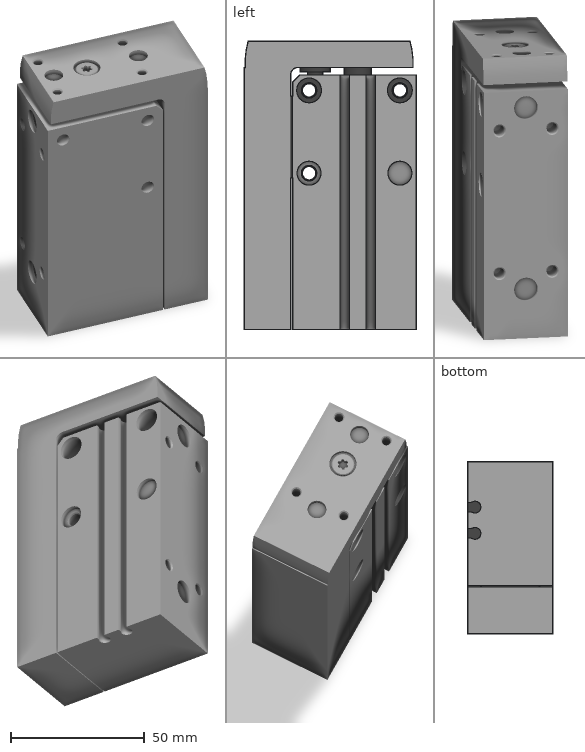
import cadquery as cq
import math

WIDTH = 32.0
TOTAL_DEPTH = 64.5
TOTAL_HEIGHT = 108.0

HOUSING_DEPTH = 46.3
HOUSING_HEIGHT = 95.4
HOUSING_CHAMFER = 2.7
PAD_WIDTH = 21.6
PAD_BOTTOM = 56.8
PAD_TOP = 87.4

WALL_FACE_Y = 47.0
PLATE_UNDERSIDE = 98.1
PLATE_FRONT_Y = 1.2
END_ARC_RADIUS = 29.7
END_ARC_CENTER_Z = 99.8
BACK_STEP = 0.3
INNER_FILLET = 2.6

POCKET_WIDTH = 30.2
POCKET_CORNER = 8.5
POCKET_TOP = 97.7
POCKET_BOTTOM = 64.8

ROD_Y = 21.9
ROD_DIAMETER = 10.2
SCREW_RECESS_DIAMETER = 10.2
SCREW_RECESS_DEPTH = 1.5
SCREW_HEAD_DIAMETER = 8.5
SCREW_HEAD_SINK = 0.5
SCREW_HEAD_CHAMFER = 0.3
SOCKET_TIP_RADIUS = 2.0
SOCKET_VALLEY_RADIUS = 1.5
SOCKET_TIP_HALF_ANGLE = 14
SOCKET_LOBES = 6
SOCKET_DEPTH = 2.2
STOP_Y = 37.9
STOP_DIAMETER = 11.5
STOP_THICKNESS = 1.6
STOP_STEM_DIAMETER = 5.8

TAP_OFFSET_X = 10.0
PLATE_TAP_Y = (6.2, 40.2)
PLATE_TAP_DIAMETER = 3.2
PLATE_TAP_MOUTH = 4.1
PLATE_RECESS_Y = (8.6, 42.7)
PLATE_RECESS_DIAMETER = 7.0
FRONT_TAP_Z = (25.4, 80.5)
FRONT_TAP_DIAMETER = 4.1
FRONT_TAP_MOUTH = 5.0
FRONT_TAP_DEPTH = 8.6
DRILL_TIP_ANGLE = 118
FRONT_RECESS_Z = (18.9, 88.9)
FRONT_RECESS_DIAMETER = 9.0
RECESS_DEPTH = 2.0

SIDE_HOLE_FRONT_Y = 6.2
SIDE_HOLE_REAR_Y = 40.2
SIDE_HOLE_UPPER_Z = 89.5
SIDE_HOLE_LOWER_Z = 58.5
SIDE_BORE_DIAMETER = 5.0
SIDE_BORE_MOUTH = 5.8
COUNTERBORE_DIAMETER = 9.3
COUNTERBORE_DEPTH = 10.0
SIDE_RECESS_DIAMETER = 9.0

GROOVE_SPACING = 9.8
GROOVE_MOUTH = 3.6
GROOVE_INSIDE = 4.4
GROOVE_LIP_DEPTH = 1.3
GROOVE_FLARE_DEPTH = 2.6
GROOVE_DEPTH = 5.0

SIDE_X = -WIDTH / 2


def cylinder(diameter, length, base, direction):
    """Cylinder that starts at the base point and runs along the direction."""
    return cq.Workplane(obj=cq.Solid.makeCylinder(diameter / 2, length, cq.Vector(*base), cq.Vector(*direction)))


def mouth_cone(mouth, bore, base, direction):
    """45 degree countersink that narrows from the mouth diameter to the bore diameter."""
    height = (mouth - bore) / 2
    cone = cq.Solid.makeCone(mouth / 2, bore / 2, height, cq.Vector(*base), cq.Vector(*direction))
    return cq.Workplane(obj=cone)


def drill_tip(diameter, base, direction):
    """Conical end of a drilled hole."""
    height = diameter / 2 / math.tan(math.radians(DRILL_TIP_ANGLE / 2))
    cone = cq.Solid.makeCone(diameter / 2, 0, height, cq.Vector(*base), cq.Vector(*direction))
    return cq.Workplane(obj=cone)


def arc_inset(height):
    """Horizontal set-back of a rounded plate end at the given height."""
    rise = height - END_ARC_CENTER_Z
    return END_ARC_RADIUS - math.sqrt(END_ARC_RADIUS**2 - rise**2)


def table_block():
    back_y = TOTAL_DEPTH - BACK_STEP
    top_inset = arc_inset(TOTAL_HEIGHT)
    low_inset = arc_inset(PLATE_UNDERSIDE)
    block = (
        cq.Workplane("YZ", origin=(SIDE_X, 0, 0))
        .moveTo(WALL_FACE_Y, 0)
        .lineTo(TOTAL_DEPTH, 0)
        .lineTo(TOTAL_DEPTH, PLATE_UNDERSIDE)
        .lineTo(back_y - low_inset, PLATE_UNDERSIDE)
        .threePointArc((back_y, END_ARC_CENTER_Z), (back_y - top_inset, TOTAL_HEIGHT))
        .lineTo(PLATE_FRONT_Y + top_inset, TOTAL_HEIGHT)
        .threePointArc((PLATE_FRONT_Y, END_ARC_CENTER_Z), (PLATE_FRONT_Y + low_inset, PLATE_UNDERSIDE))
        .lineTo(WALL_FACE_Y - INNER_FILLET, PLATE_UNDERSIDE)
        .radiusArc((WALL_FACE_Y, PLATE_UNDERSIDE - INNER_FILLET), INNER_FILLET)
        .close()
        .extrude(WIDTH)
    )
    pocket_height = POCKET_TOP - POCKET_BOTTOM
    pocket = (
        cq.Workplane("XY")
        .box(POCKET_WIDTH, INNER_FILLET, pocket_height)
        .edges("|Y")
        .fillet(POCKET_CORNER)
        .translate((0, WALL_FACE_Y - INNER_FILLET / 2, POCKET_BOTTOM + pocket_height / 2))
    )
    return block.cut(pocket)


def cut_plate_holes(table):
    down = (0, 0, -1)
    for y in PLATE_TAP_Y:
        for x in (-TAP_OFFSET_X, TAP_OFFSET_X):
            mouth = (x, y, TOTAL_HEIGHT)
            table = table.cut(cylinder(PLATE_TAP_DIAMETER, TOTAL_HEIGHT - PLATE_UNDERSIDE, mouth, down))
            table = table.cut(mouth_cone(PLATE_TAP_MOUTH, PLATE_TAP_DIAMETER, mouth, down))
    for y in PLATE_RECESS_Y:
        table = table.cut(cylinder(PLATE_RECESS_DIAMETER, RECESS_DEPTH, (0, y, TOTAL_HEIGHT), down))
    return table


def lobed_socket(top_z):
    """Six-lobed screw drive that opens at the given height."""
    step = 2 * math.pi / SOCKET_LOBES
    half_tip = math.radians(SOCKET_TIP_HALF_ANGLE)

    def polar(radius, angle):
        return (radius * math.cos(angle), radius * math.sin(angle))

    outline = cq.Workplane("XY", origin=(0, ROD_Y, top_z)).moveTo(*polar(SOCKET_TIP_RADIUS, -half_tip))
    for lobe in range(SOCKET_LOBES):
        angle = lobe * step
        outline = outline.threePointArc(
            polar(SOCKET_TIP_RADIUS, angle), polar(SOCKET_TIP_RADIUS, angle + half_tip)
        ).threePointArc(
            polar(SOCKET_VALLEY_RADIUS, angle + step / 2), polar(SOCKET_TIP_RADIUS, angle + step - half_tip)
        )
    return outline.close().extrude(-SOCKET_DEPTH)


def add_rod_screw(table):
    """Sunken screw head in the end plate, above the piston rod."""
    floor_z = TOTAL_HEIGHT - SCREW_RECESS_DEPTH
    head_top = TOTAL_HEIGHT - SCREW_HEAD_SINK
    recess = cylinder(SCREW_RECESS_DIAMETER, SCREW_RECESS_DEPTH, (0, ROD_Y, floor_z), (0, 0, 1))
    head = cylinder(SCREW_HEAD_DIAMETER, head_top - floor_z, (0, ROD_Y, floor_z), (0, 0, 1))
    head = head.faces(">Z").chamfer(SCREW_HEAD_CHAMFER)
    return table.cut(recess).union(head).cut(lobed_socket(head_top))


def add_rod_and_stop(table):
    """Rod and stop pad, both hanging from the plate and meeting the housing top."""
    down = (0, 0, -1)
    gap = PLATE_UNDERSIDE - HOUSING_HEIGHT
    rod = cylinder(ROD_DIAMETER, gap, (0, ROD_Y, PLATE_UNDERSIDE), down)
    stop = cylinder(STOP_DIAMETER, STOP_THICKNESS, (0, STOP_Y, PLATE_UNDERSIDE), down)
    stem = cylinder(STOP_STEM_DIAMETER, gap, (0, STOP_Y, PLATE_UNDERSIDE), down)
    return table.union(rod).union(stop).union(stem)


def make_table():
    table = cut_plate_holes(table_block())
    table = add_rod_screw(table)
    return add_rod_and_stop(table)


def housing_block():
    block = (
        cq.Workplane("XY")
        .box(WIDTH, HOUSING_DEPTH, HOUSING_HEIGHT, centered=(True, False, False))
        .edges(">Y and >Z")
        .chamfer(HOUSING_CHAMFER)
    )
    pad = (
        cq.Workplane("XY", origin=(0, HOUSING_DEPTH, PAD_BOTTOM))
        .box(PAD_WIDTH, WALL_FACE_Y - HOUSING_DEPTH, PAD_TOP - PAD_BOTTOM, centered=(True, False, False))
    )
    return block.union(pad)


def sensor_groove(y):
    """Groove with a straight mouth, a flare and a round bottom."""
    lip_x = SIDE_X + GROOVE_LIP_DEPTH
    flare_x = SIDE_X + GROOVE_FLARE_DEPTH
    half_mouth = GROOVE_MOUTH / 2
    half_inside = GROOVE_INSIDE / 2
    return (
        cq.Workplane("XY")
        .moveTo(SIDE_X, y - half_mouth)
        .lineTo(lip_x, y - half_mouth)
        .lineTo(flare_x, y - half_inside)
        .threePointArc((SIDE_X + GROOVE_DEPTH, y), (flare_x, y + half_inside))
        .lineTo(lip_x, y + half_mouth)
        .lineTo(SIDE_X, y + half_mouth)
        .close()
        .extrude(HOUSING_HEIGHT)
    )


def cut_sensor_grooves(housing):
    for y in (ROD_Y - GROOVE_SPACING / 2, ROD_Y + GROOVE_SPACING / 2):
        housing = housing.cut(sensor_groove(y))
    return housing


def cut_side_holes(housing):
    inward = (1, 0, 0)
    through_holes = (
        (SIDE_HOLE_FRONT_Y, SIDE_HOLE_UPPER_Z, COUNTERBORE_DIAMETER, COUNTERBORE_DEPTH),
        (SIDE_HOLE_REAR_Y, SIDE_HOLE_UPPER_Z, COUNTERBORE_DIAMETER, COUNTERBORE_DEPTH),
        (SIDE_HOLE_REAR_Y, SIDE_HOLE_LOWER_Z, SIDE_RECESS_DIAMETER, RECESS_DEPTH),
    )
    for y, z, diameter, depth in through_holes:
        seat = (SIDE_X + depth, y, z)
        housing = housing.cut(cylinder(SIDE_BORE_DIAMETER, WIDTH, (SIDE_X, y, z), inward))
        housing = housing.cut(cylinder(diameter, depth, (SIDE_X, y, z), inward))
        housing = housing.cut(mouth_cone(SIDE_BORE_MOUTH, SIDE_BORE_DIAMETER, seat, inward))
    blind_mouth = (SIDE_X, SIDE_HOLE_FRONT_Y, SIDE_HOLE_LOWER_Z)
    return housing.cut(cylinder(SIDE_RECESS_DIAMETER, RECESS_DEPTH, blind_mouth, inward))


def cut_front_holes(housing):
    inward = (0, 1, 0)
    for z in FRONT_TAP_Z:
        for x in (-TAP_OFFSET_X, TAP_OFFSET_X):
            housing = housing.cut(cylinder(FRONT_TAP_DIAMETER, FRONT_TAP_DEPTH, (x, 0, z), inward))
            housing = housing.cut(drill_tip(FRONT_TAP_DIAMETER, (x, FRONT_TAP_DEPTH, z), inward))
            housing = housing.cut(mouth_cone(FRONT_TAP_MOUTH, FRONT_TAP_DIAMETER, (x, 0, z), inward))
    for z in FRONT_RECESS_Z:
        housing = housing.cut(cylinder(FRONT_RECESS_DIAMETER, RECESS_DEPTH, (0, 0, z), inward))
    return housing


def make_housing():
    housing = cut_sensor_grooves(housing_block())
    housing = cut_side_holes(housing)
    return cut_front_holes(housing)


table = make_table()
housing = make_housing()
result = cq.Compound.makeCompound([table.val(), housing.val()])